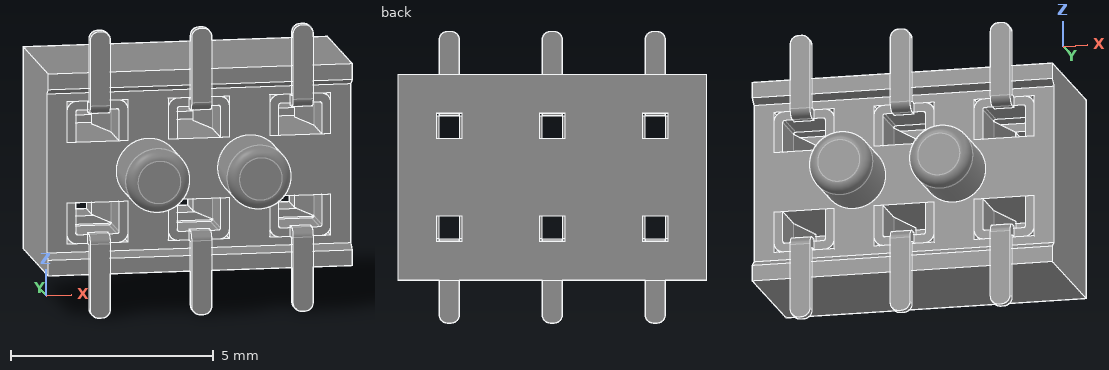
import cadquery as cq


LENGTH = 7.62
COLUMNS = 3
PITCH = LENGTH / COLUMNS
ROW_OFFSET = PITCH / 2

HEIGHT = 2 * PITCH
FACE_TO_BACK = 3.35
LIP_DEPTH = 0.2
LIP_FLAT = 0.4
LIP_SLOPE = 0.145

PEG_DIAMETER = 1.6
PEG_LENGTH = 1.6
PEG_ROUND = 0.27

POCKET_WIDTH = 1.525
POCKET_INNER_Z = 0.76
POCKET_OUTER_Z = 1.79
POCKET_DEPTH = 2.44
PIN_HOLE_SIZE = 0.625

SHEET = 0.22
BEND_INSIDE = 0.05
BEND_OUTSIDE = 0.245
CHANNEL_DEPTH = 1.14
ARM_DEPTH = 1.105
ARM_END_DEPTH = CHANNEL_DEPTH + ARM_DEPTH
ARM_TIP_GAP = 0.495
ARM_OUTER_Z = POCKET_OUTER_Z - SHEET - BEND_INSIDE
TAIL_WIDTH = 0.5
TAIL_SPAN = 7.2
TAIL_END_Z = TAIL_SPAN / 2
TAIL_TIP_ROUND = 0.21


def column_positions(count):
    """X positions of evenly pitched features, centred on the part."""
    return [(i - (count - 1) / 2) * PITCH for i in range(count)]


def make_housing():
    half_height = HEIGHT / 2
    lip_edge = half_height - LIP_FLAT
    lip_foot = lip_edge - LIP_SLOPE
    housing = (
        cq.Workplane("YZ")
        .moveTo(FACE_TO_BACK, -half_height)
        .lineTo(-LIP_DEPTH, -half_height)
        .lineTo(-LIP_DEPTH, -lip_edge)
        .lineTo(0, -lip_foot)
        .lineTo(0, lip_foot)
        .lineTo(-LIP_DEPTH, lip_edge)
        .lineTo(-LIP_DEPTH, half_height)
        .lineTo(FACE_TO_BACK, half_height)
        .close()
        .extrude(LENGTH / 2, both=True)
    )

    for x in column_positions(COLUMNS - 1):
        peg = (
            cq.Workplane("XZ")
            .center(x, 0)
            .circle(PEG_DIAMETER / 2)
            .extrude(PEG_LENGTH)
            .faces("<Y")
            .edges()
            .fillet(PEG_ROUND)
        )
        housing = housing.union(peg)

    pocket_height = POCKET_OUTER_Z - POCKET_INNER_Z
    pocket_z = (POCKET_OUTER_Z + POCKET_INNER_Z) / 2
    for x in column_positions(COLUMNS):
        for side in (1, -1):
            pocket = (
                cq.Workplane("XZ")
                .center(x, side * pocket_z)
                .rect(POCKET_WIDTH, pocket_height)
                .extrude(-POCKET_DEPTH)
            )
            pin_hole = (
                cq.Workplane("XZ")
                .center(x, side * ROW_OFFSET)
                .rect(PIN_HOLE_SIZE, PIN_HOLE_SIZE)
                .extrude(-FACE_TO_BACK)
            )
            housing = housing.cut(pocket).cut(pin_hole)
    return housing


def make_channel():
    """U-shaped front section, open toward the middle of the part."""
    inner_width = POCKET_WIDTH - 2 * SHEET
    outer_height = POCKET_OUTER_Z - POCKET_INNER_Z
    inner_height = outer_height - SHEET
    outside = (
        cq.Workplane("XZ", origin=(0, 0, POCKET_INNER_Z))
        .rect(POCKET_WIDTH, 2 * outer_height)
        .extrude(-CHANNEL_DEPTH)
        .edges("|Y")
        .fillet(BEND_OUTSIDE)
    )
    inside = (
        cq.Workplane("XZ", origin=(0, 0, POCKET_INNER_Z))
        .rect(inner_width, 2 * inner_height)
        .extrude(-CHANNEL_DEPTH)
        .edges("|Y")
        .fillet(BEND_INSIDE)
    )
    outer_half = (
        cq.Workplane("XY", origin=(0, 0, POCKET_INNER_Z))
        .rect(2 * POCKET_WIDTH, 2 * FACE_TO_BACK)
        .extrude(outer_height)
    )
    return outside.cut(inside).intersect(outer_half)


def make_arm():
    """Spring arm on the +X side, leaning toward the pin."""
    root_x = POCKET_WIDTH / 2
    tip_x = ARM_TIP_GAP / 2
    return (
        cq.Workplane("XY", origin=(0, 0, POCKET_INNER_Z))
        .polyline([
            (root_x, CHANNEL_DEPTH),
            (root_x - SHEET, CHANNEL_DEPTH),
            (tip_x, ARM_END_DEPTH),
            (tip_x + SHEET, ARM_END_DEPTH),
        ])
        .close()
        .extrude(ARM_OUTER_Z - POCKET_INNER_Z)
    )


def make_tail():
    """Solder tail: out of the channel web, then bent outward past the lip."""
    tail_front = -LIP_DEPTH - SHEET
    return (
        cq.Workplane("YZ")
        .moveTo(0, ARM_OUTER_Z)
        .lineTo(-LIP_DEPTH, ARM_OUTER_Z)
        .radiusArc((tail_front, ARM_OUTER_Z + SHEET), SHEET)
        .lineTo(tail_front, TAIL_END_Z)
        .lineTo(-LIP_DEPTH, TAIL_END_Z)
        .lineTo(-LIP_DEPTH, POCKET_OUTER_Z)
        .lineTo(0, POCKET_OUTER_Z)
        .close()
        .extrude(TAIL_WIDTH / 2, both=True)
        .faces(">Z")
        .edges("|Y")
        .fillet(TAIL_TIP_ROUND)
    )


def make_contact():
    """One contact of the upper row, centred on X = 0."""
    arm = make_arm()
    return make_channel().union(arm).union(arm.mirror("YZ")).union(make_tail())


housing = make_housing()

upper_contact = make_contact()
lower_contact = upper_contact.mirror("XY")
contacts = []
for x in column_positions(COLUMNS):
    for contact in (upper_contact, lower_contact):
        contacts.append(contact.translate((x, 0, 0)).solids().val())

result = cq.Compound.makeCompound([housing.solids().val(), *contacts])